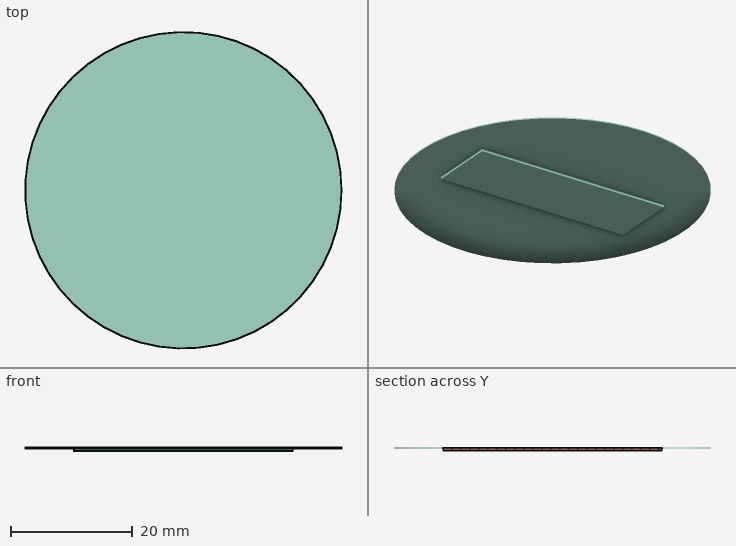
import cadquery as cq

disc_diameter = 52.0
total_height = 0.6
disc_thickness = 0.2
pad_length = 36.0
pad_width = 12.0
pad_thickness = total_height - disc_thickness


def make_disc():
    """Round disc resting on top of the pad."""
    return cq.Workplane("XY").workplane(offset=pad_thickness).circle(disc_diameter / 2).extrude(disc_thickness)


def make_pad():
    """Rectangular pad, long side along X, with its bottom at Z = 0."""
    return cq.Workplane("XY").rect(pad_length, pad_width).extrude(pad_thickness)


result = make_disc().union(make_pad())